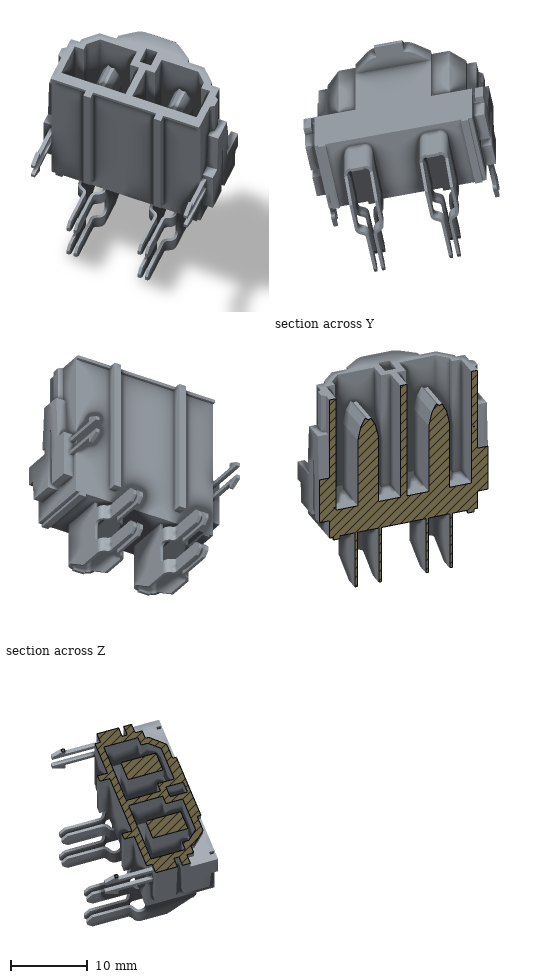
import cadquery as cq
import math


overall_width = 23.82
overall_height = 28.6

half_width = 10.45
housing_height = 20.55
housing_depth = 9.38
shoulder_z = 8.03
wall = 0.95
lip_height = 0.43
lip_front_y = -9.83
cavity_floor_z = 4.0

back_block_half_width = 5.0
back_step_y = -0.51
bevel_start_x = 7.35
bevel_end = (9.2, -2.37)
side_start_y = -2.83

ridge_out = 0.55
ridge_center_y = -5.23
ridge_base_half = 0.91
ridge_tip_half = 0.55

rib_x = 4.95
rib_width = 1.0
rib_front_y = -10.75
rib_bottom_z = 1.8
standoff_x = 9.45
standoff_width = 0.97
standoff_height = 0.43

shelf_height = 2.72
shelf_y = 1.9
shelf_crest_half = 2.55
shelf_round = 2.15
hook_half_width = 1.85
hook_y = 3.35
hook_tip_height = 0.65

block_outer_x = overall_width / 2
block_bottom_z = 2.55
slit_top_z = 10.98
block_slot_width = 0.43
block_slot_depth = 0.75

clip_width = 0.55
clip_center_z = 7.0
prong_gap = 1.37
prong_thickness = 0.51
prong_root_y = -8.63
prong_tip_y = -15.18
barb_y = -13.38
barb_land = 0.23
barb_rise = 0.7

terminal_x = 5.0
sheet = 0.4
channel_half_width = 1.9
channel_back_y = -0.95
channel_bend_radius = 1.03
pin_half_width = 0.71
pin_tip_y = -15.87
pin_height = 2.0
pin_bottom_z = housing_height - overall_height
pin_pitch = 4.97
pin_tip_run = 0.75
pin_tip_rise = 0.65
jog_start_y = -8.85
jog_angle = math.radians(63)
jog_outer_radius = 0.95
jog_inner_radius = 0.5
jog_radii = jog_outer_radius + jog_inner_radius
jog_shift = channel_half_width - pin_half_width
jog_straight = (jog_shift - jog_radii * (1 - math.cos(jog_angle))) / math.sin(jog_angle)
jog_end_y = jog_start_y - jog_radii * math.sin(jog_angle) - jog_straight * math.cos(jog_angle)
notch_y = -8.2
notch_round = 0.63
channel_corner_y = -2.0
channel_corner_z = -6.05
channel_heel_y = -5.25
back_wall_z = -6.3

blade_back_y = -2.3
blade_length = 4.9


def box(x0, x1, y0, y1, z0, z1):
    """Rectangular block given by its limits along each axis."""
    return cq.Workplane("XY").box(x1 - x0, y1 - y0, z1 - z0, centered=False).translate((x0, y0, z0))


def both_sides(solid):
    """The solid together with its mirror image across X = 0."""
    return solid.union(solid.mirror("YZ"))


def prism_x(points, x0, x1):
    """Extrude a (y, z) outline from x0 to x1."""
    return cq.Workplane("YZ").polyline(points).close().extrude(x1 - x0).translate((x0, 0, 0))


def prism_z(points, z0, z1):
    """Extrude an (x, y) outline from z0 to z1."""
    return cq.Workplane("XY").polyline(points).close().extrude(z1 - z0).translate((0, 0, z0))


def make_housing():
    """Solid housing with its lip, front ribs, side ridges and standoffs."""
    right_edge = [
        (back_block_half_width, 0),
        (back_block_half_width, back_step_y),
        (bevel_start_x, back_step_y),
        bevel_end,
        (bevel_end[0], side_start_y),
        (half_width, side_start_y),
        (half_width, -housing_depth),
    ]
    left_edge = [(-x, y) for x, y in reversed(right_edge)]
    upper = prism_z(right_edge + left_edge, shoulder_z, housing_height)
    lower = box(-half_width, half_width, -housing_depth, 0, 0, shoulder_z)
    lip = box(-half_width, half_width, lip_front_y, -housing_depth,
              housing_height - lip_height, housing_height)
    ridge = prism_z(
        [
            (half_width, ridge_center_y + ridge_base_half),
            (half_width + ridge_out, ridge_center_y + ridge_tip_half),
            (half_width + ridge_out, ridge_center_y - ridge_tip_half),
            (half_width, ridge_center_y - ridge_base_half),
        ],
        slit_top_z, housing_height,
    )
    rib = box(rib_x - rib_width / 2, rib_x + rib_width / 2,
              rib_front_y, -housing_depth, rib_bottom_z, housing_height)
    standoff = box(standoff_x - standoff_width / 2, standoff_x + standoff_width / 2,
                   -housing_depth, 0, -standoff_height, 0)
    housing = upper.union(lower).union(lip)
    for detail in (ridge, rib, standoff):
        housing = housing.union(both_sides(detail))
    return housing


def make_cavities():
    """The two mating cavities and the small keying hole between them."""
    back_y = back_step_y - wall
    step_y = side_start_y - wall
    front_y = -8.4
    inner_x = wall / 2
    inner_step_x = 1.75
    bevel_top_x = 6.92
    outer_step_x = bevel_end[0] - wall
    outer_x = half_width - wall
    cavity = prism_z(
        [
            (inner_x, front_y),
            (outer_x, front_y),
            (outer_x, step_y),
            (outer_step_x, step_y),
            (outer_step_x, side_start_y),
            (bevel_top_x, back_y),
            (inner_step_x, back_y),
            (inner_step_x, step_y),
            (inner_x, step_y),
        ],
        cavity_floor_z, housing_height,
    )
    key_half_width = 0.8
    key_hole = box(-key_half_width, key_half_width, side_start_y, back_step_y,
                   cavity_floor_z, housing_height)
    return both_sides(cavity).union(key_hole)


def make_latch():
    """Rounded shelf behind the mouth of the housing, carrying a sloped hook."""
    shelf_z = housing_height - shelf_height
    shelf = prism_z(
        [
            (-back_block_half_width, 0),
            (-shelf_crest_half, shelf_y),
            (shelf_crest_half, shelf_y),
            (back_block_half_width, 0),
        ],
        shelf_z, housing_height,
    )
    shelf = shelf.edges("|Z and >Y").fillet(shelf_round)
    hook = prism_x(
        [
            (0, shelf_z),
            (hook_y, shelf_z),
            (hook_y, shelf_z + hook_tip_height),
            (shelf_y, housing_height),
            (0, housing_height),
        ],
        -hook_half_width, hook_half_width,
    )
    return shelf.union(hook)


def make_side_block():
    """Mounting block on the +X face, with a tapered tower and a wedge-shaped slit."""
    tower_top_z = 15.18
    tower_base_z = 8.98
    heel_z = 5.37
    block = prism_x(
        [
            (0, shoulder_z),
            (-3.8, shoulder_z),
            (-3.8, tower_base_z),
            (-3.35, tower_base_z),
            (-3.8, tower_top_z),
            (-6.78, tower_top_z),
            (-7.15, tower_base_z),
            (prong_root_y, tower_base_z),
            (prong_root_y, block_bottom_z),
            (-5.78, block_bottom_z),
            (-5.52, slit_top_z),
            (-5.0, slit_top_z),
            (-4.75, block_bottom_z),
            (-1.17, block_bottom_z),
            (-0.97, heel_z),
            (0, heel_z),
        ],
        half_width, block_outer_x,
    )
    slot = box(half_width, half_width + block_slot_width, -block_slot_depth, 0, 0, shoulder_z)
    return block.cut(slot)


def make_clip():
    """Two barbed prongs on the +X side, mirrored about the clip's middle height."""
    inner_z = clip_center_z + prong_gap / 2
    outer_z = inner_z + prong_thickness
    prong = prism_x(
        [
            (prong_root_y, inner_z),
            (prong_tip_y, inner_z),
            (prong_tip_y, outer_z),
            (barb_y - barb_land, outer_z + barb_rise),
            (barb_y, outer_z + barb_rise),
            (barb_y, outer_z),
            (prong_root_y, outer_z),
        ],
        half_width, half_width + clip_width,
    )
    return prong.union(prong.mirror("XY", (0, 0, clip_center_z)))


def polar(center, radius, angle):
    """The point at the given radius and angle around a center."""
    return (center[0] + radius * math.cos(angle), center[1] + radius * math.sin(angle))


def make_channel_plan():
    """Bent sheet seen from above: a U channel whose legs jog inward to become the pins."""
    corner = (channel_half_width - channel_bend_radius, channel_back_y - channel_bend_radius)
    first_bend = (channel_half_width - jog_outer_radius, jog_start_y)
    second_bend = (pin_half_width + jog_inner_radius, jog_end_y)

    def arcs(inset):
        """Start, middle and end of each bend on the face lying `inset` inside the outer face."""
        corner_radius = channel_bend_radius - inset
        first_radius = jog_outer_radius - inset
        second_radius = jog_inner_radius + inset
        turns = [math.pi / 2, math.pi / 4, 0]
        into_jog = [0, -jog_angle / 2, -jog_angle]
        out_of_jog = [math.pi - jog_angle, math.pi - jog_angle / 2, math.pi]
        return [
            [polar(corner, corner_radius, a) for a in turns],
            [polar(first_bend, first_radius, a) for a in into_jog],
            [polar(second_bend, second_radius, a) for a in out_of_jog],
        ]

    profile = cq.Workplane("XY").moveTo(0, channel_back_y)
    for start, middle, end in arcs(0):
        profile = profile.lineTo(*start).threePointArc(middle, end)
    profile = profile.lineTo(pin_half_width, pin_tip_y).lineTo(pin_half_width - sheet, pin_tip_y)
    for start, middle, end in reversed(arcs(sheet)):
        profile = profile.lineTo(*end).threePointArc(middle, start)
    leg = profile.lineTo(0, channel_back_y - sheet).close().extrude(-pin_bottom_z)
    return both_sides(leg.translate((0, 0, pin_bottom_z)))


def make_terminal_side():
    """Side outline shared by both legs of a terminal, spanning the channel's full width."""
    plate = prism_x(
        [
            (channel_back_y, 0),
            (notch_y, 0),
            (notch_y, pin_bottom_z),
            (channel_heel_y, pin_bottom_z),
            (channel_corner_y, channel_corner_z),
            (channel_back_y, channel_corner_z),
        ],
        -channel_half_width, channel_half_width,
    )
    for bottom_z in (pin_bottom_z, pin_bottom_z + pin_pitch):
        top_z = bottom_z + pin_height
        pin = prism_x(
            [
                (notch_y, bottom_z),
                (pin_tip_y + pin_tip_run, bottom_z),
                (pin_tip_y, bottom_z + pin_tip_rise),
                (pin_tip_y, top_z - pin_tip_rise),
                (pin_tip_y + pin_tip_run, top_z),
                (notch_y, top_z),
            ],
            -channel_half_width, channel_half_width,
        )
        plate = plate.union(pin)
    margin = 0.03
    inside_corners = cq.selectors.BoxSelector(
        (-channel_half_width, notch_y - margin, pin_bottom_z + pin_height - margin),
        (channel_half_width, notch_y + margin, pin_bottom_z + pin_pitch + pin_height + margin),
    )
    plate = plate.edges("|X").edges(inside_corners).fillet(notch_round)
    back_half_width = channel_half_width - channel_bend_radius
    back_wall = box(-back_half_width, back_half_width, channel_back_y - sheet, channel_back_y,
                    back_wall_z, 0)
    return plate.union(back_wall)


def make_blade():
    """Folded contact standing on a cavity floor, with a shallow valley along its crest."""
    section = [
        (-1.5, cavity_floor_z),
        (-1.5, 13.72),
        (-1.05, 15.65),
        (-0.43, 16.78),
        (0, 16.47),
        (0.43, 16.58),
        (1.05, 15.45),
        (1.5, 13.58),
        (1.5, cavity_floor_z),
    ]
    blade = cq.Workplane("XZ").polyline(section).close().extrude(blade_length)
    return blade.translate((0, blade_back_y, 0))


terminal = make_channel_plan().intersect(make_terminal_side()).union(make_blade())

result = make_housing().union(make_latch()).cut(make_cavities())
result = result.union(both_sides(make_side_block().union(make_clip())))
for x in (-terminal_x, terminal_x):
    result = result.union(terminal.translate((x, 0, 0)))